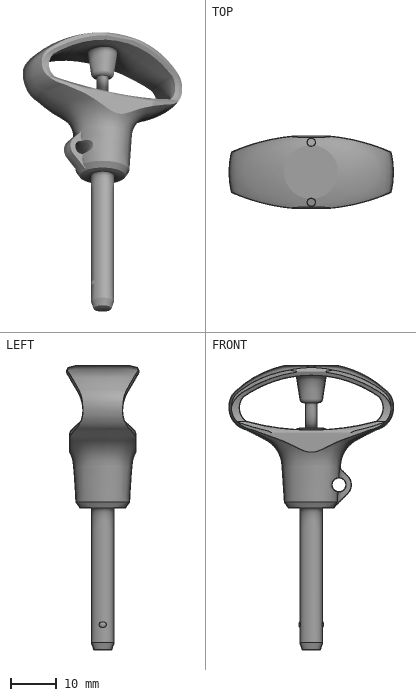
import cadquery as cq
import math


EMBED = 0.8

HANDLE_TOP = 31.0
TOP_FLAT_RADIUS = 5.85
DOME_MID = (11.6, 28.9)
DOME_END = (16.4, 25.5)
RIM_UPPER_MID = (17.55, 24.0)
RIM_WIDEST = (17.95, 22.0)
RIM_LOWER_MID = (17.0, 18.9)
RIM_END = (14.2, 17.0)
FLARE_START = (10.3, 15.0)
FLARE_MID = (7.7, 12.9)
COLLAR_TOP = (6.4, 9.3)
COLLAR_BOTTOM = (5.86, 1.25)
SHOULDER_RADIUS = 5.0

HANDLE_WIDTH = 15.9
CROWN_CORNER_EXTRA = 0.05
CROWN_TOP_HALF_WIDTH = 7.3
BARREL_RADIUS = 43.0
BARREL_HALF_WIDTH = 8.06
BASE_HALF_WIDTH = 7.2
BASE_BLEND_RADIUS = 1.1
CROWN_BLEND_RADIUS = 0.36
CROWN_CORNER_Z = 29.65
WAIST_Z = 21.2
WAIST_HALF_WIDTH = 4.35
WAIST_ARC_RADIUS = 8.2
WAIST_ARC_ANGLE = math.radians(29.3)
WAIST_LOW_MID = (4.45, 20.0)
WAIST_LOW_END = (4.77, 18.85)
BASE_CORNER_Z = 16.6

WINDOW_TOP = 28.9
WINDOW_ROOF_END = (14.75, 24.2)
WINDOW_SIDE = (15.65, 21.6)
WINDOW_FLOOR_END = (14.2, 18.85)
WINDOW_FLOOR = 16.95

BUTTON_TOP_RADIUS = 3.4
BUTTON_LOW_RADIUS = 2.35
BUTTON_BOTTOM = 22.9
BUTTON_FILLET = 0.9
ROD_RADIUS = 1.3
SEAT_RADIUS = 3.8
SEAT_TOP_RADIUS = 2.45
SEAT_HEIGHT = 0.45

RECESS_RADIUS = 0.9
RECESS_OFFSET = 6.55
RECESS_Z = 30.82
RECESS_TILT = 14.0
RECESS_DEPTH = 0.06

LUG_X = 6.05
LUG_Z = 5.0
LUG_RADIUS = 2.7
LUG_THICKNESS = 3.0
LUG_HOLE_DIAMETER = 3.0

SHAFT_RADIUS = 2.5
SHAFT_LENGTH = 31.0
TIP_RADIUS = 1.95
TIP_LENGTH = 1.6
BALL_RADIUS = 1.1
BALL_REACH = 2.7
BALL_Z = -25.5


def mirror_x(point):
    """Point reflected to the -X side of the XZ plane."""
    return (-point[0], point[1])


def make_revolved_body():
    """Round body; its surface seam is turned to -X, clear of the lug and its hole."""
    return (
        cq.Workplane("XZ")
        .moveTo(0, 0)
        .lineTo(SHOULDER_RADIUS, 0)
        .lineTo(*COLLAR_BOTTOM)
        .lineTo(*COLLAR_TOP)
        .threePointArc(FLARE_MID, FLARE_START)
        .lineTo(*RIM_END)
        .threePointArc(RIM_LOWER_MID, RIM_WIDEST)
        .threePointArc(RIM_UPPER_MID, DOME_END)
        .threePointArc(DOME_MID, (TOP_FLAT_RADIUS, HANDLE_TOP))
        .lineTo(0, HANDLE_TOP)
        .close()
        .revolve(360, (0, 0), (0, 1))
        .rotate((0, 0, 0), (0, 0, 1), 180)
    )


def make_waisted_block():
    """Side profile of the handle, extruded along X."""
    half_length = RIM_WIDEST[0] + EMBED
    crown = (HANDLE_WIDTH / 2 + CROWN_CORNER_EXTRA, CROWN_CORNER_Z)
    base = (BASE_HALF_WIDTH, BASE_CORNER_Z)
    waist = (WAIST_HALF_WIDTH, WAIST_Z)

    def waist_arc_point(angle):
        y = WAIST_HALF_WIDTH + WAIST_ARC_RADIUS * (1 - math.cos(angle))
        return (y, WAIST_Z + WAIST_ARC_RADIUS * math.sin(angle))

    positive_side = (
        cq.Workplane("YZ")
        .moveTo(0, 0)
        .lineTo(BASE_HALF_WIDTH, 0)
        .lineTo(*base)
        .lineTo(*WAIST_LOW_END)
        .threePointArc(WAIST_LOW_MID, waist)
        .threePointArc(waist_arc_point(WAIST_ARC_ANGLE / 2), waist_arc_point(WAIST_ARC_ANGLE))
        .lineTo(*crown)
        .lineTo(CROWN_TOP_HALF_WIDTH, HANDLE_TOP)
        .lineTo(0, HANDLE_TOP)
        .close()
        .extrude(half_length, both=True)
    )
    positive_side = positive_side.edges(cq.NearestToPointSelector((0, *base))).fillet(BASE_BLEND_RADIUS)
    positive_side = positive_side.edges(cq.NearestToPointSelector((0, *crown))).fillet(CROWN_BLEND_RADIUS)
    return positive_side.union(positive_side.mirror("XZ"))


def make_barrel():
    """Upright block with bowed long sides, the plan outline of the handle."""
    half_length = RIM_WIDEST[0] + EMBED
    sagitta = BARREL_RADIUS - math.sqrt(BARREL_RADIUS**2 - half_length**2)
    end_y = BARREL_HALF_WIDTH - sagitta
    return (
        cq.Workplane("XY")
        .moveTo(-half_length, -end_y)
        .threePointArc((0, -BARREL_HALF_WIDTH), (half_length, -end_y))
        .lineTo(half_length, end_y)
        .threePointArc((0, BARREL_HALF_WIDTH), (-half_length, end_y))
        .close()
        .extrude(HANDLE_TOP)
    )


def make_window():
    return (
        cq.Workplane("XZ")
        .moveTo(*mirror_x(WINDOW_ROOF_END))
        .threePointArc((0, WINDOW_TOP), WINDOW_ROOF_END)
        .threePointArc(WINDOW_SIDE, WINDOW_FLOOR_END)
        .threePointArc((0, WINDOW_FLOOR), mirror_x(WINDOW_FLOOR_END))
        .threePointArc(mirror_x(WINDOW_SIDE), mirror_x(WINDOW_ROOF_END))
        .close()
        .extrude(HANDLE_WIDTH, both=True)
    )


def make_cone(bottom_z, bottom_radius, top_z, top_radius):
    """Frustum or cylinder on the Z axis."""
    return (
        cq.Workplane("XZ")
        .moveTo(0, bottom_z)
        .lineTo(bottom_radius, bottom_z)
        .lineTo(top_radius, top_z)
        .lineTo(0, top_z)
        .close()
        .revolve(360, (0, 0), (0, 1))
    )


def make_button():
    button = make_cone(BUTTON_BOTTOM, BUTTON_LOW_RADIUS, WINDOW_TOP + EMBED, BUTTON_TOP_RADIUS)
    button = button.faces("<Z").edges().fillet(BUTTON_FILLET)
    rod_bottom = WINDOW_FLOOR - EMBED
    rod = make_cone(rod_bottom, ROD_RADIUS, WINDOW_TOP, ROD_RADIUS)
    seat = make_cone(WINDOW_FLOOR, SEAT_RADIUS, WINDOW_FLOOR + SEAT_HEIGHT, SEAT_TOP_RADIUS)
    return button.union(rod).union(seat)


def make_recesses():
    """Two shallow discs sunk square to the sloping dome."""
    cutter = cq.Workplane("XY").circle(RECESS_RADIUS).extrude(EMBED).translate((0, 0, -RECESS_DEPTH))
    cutter = cutter.rotate((0, 0, 0), (1, 0, 0), -RECESS_TILT)
    cutter = cutter.translate((0, RECESS_OFFSET, RECESS_Z))
    return cutter.union(cutter.mirror("XZ"))


def make_lug():
    """Rounded eye on the +X side whose edges run back into the collar at 45 degrees."""
    diagonal = LUG_RADIUS * math.sqrt(0.5)
    tangent_x = LUG_X + diagonal
    root_x = SHOULDER_RADIUS
    run = tangent_x - root_x
    return (
        cq.Workplane("XZ")
        .moveTo(root_x, LUG_Z - diagonal - run)
        .lineTo(tangent_x, LUG_Z - diagonal)
        .threePointArc((LUG_X + LUG_RADIUS, LUG_Z), (tangent_x, LUG_Z + diagonal))
        .lineTo(root_x, LUG_Z + diagonal + run)
        .close()
        .extrude(LUG_THICKNESS / 2, both=True)
    )


def make_lug_hole():
    return (
        cq.Workplane("XZ")
        .center(LUG_X, LUG_Z)
        .circle(LUG_HOLE_DIAMETER / 2)
        .extrude(HANDLE_WIDTH, both=True)
    )


def make_shaft():
    tip_start = TIP_LENGTH - SHAFT_LENGTH
    shaft = make_cone(tip_start, SHAFT_RADIUS, EMBED, SHAFT_RADIUS)
    shaft = shaft.union(make_cone(-SHAFT_LENGTH, TIP_RADIUS, tip_start, SHAFT_RADIUS))
    for side in (-1, 1):
        ball_x = side * (BALL_REACH - BALL_RADIUS)
        shaft = shaft.union(cq.Workplane("XY").sphere(BALL_RADIUS).translate((ball_x, 0, BALL_Z)))
    return shaft


handle = make_revolved_body().union(make_lug()).cut(make_lug_hole())
handle = handle.intersect(make_waisted_block()).intersect(make_barrel())
handle = handle.cut(make_window()).cut(make_recesses()).union(make_button())
result = handle.union(make_shaft())